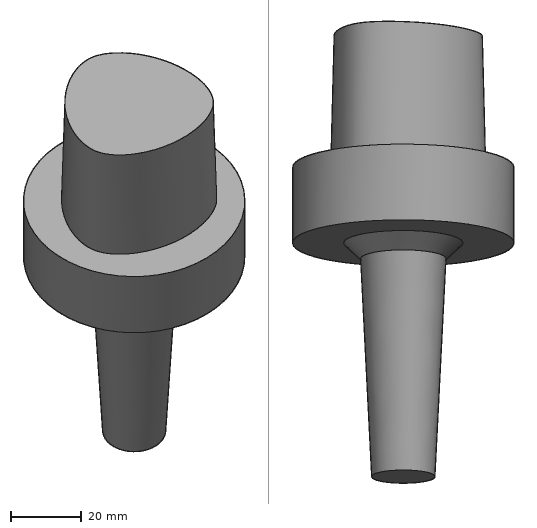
import cadquery as cq
import math

total_height = 128.0
flange_diameter = 63.0
flange_height = 22.0
shank_height = 38.0
collar_height = 4.6
collar_top_diameter = 33.9
stem_top_diameter = 24.3
stem_bottom_diameter = 18.0
shank_base_width = 44.2
shank_taper = 1 / 20
shank_eccentricity = 1.4
curve_points = 36

flange_top = total_height - shank_height
flange_bottom = flange_top - flange_height
stem_top = flange_bottom - collar_height
shank_top_width = shank_base_width - shank_height * shank_taper


def turned_body():
    """Tapered stem, conical collar and flange, revolved about Z."""
    profile = (
        cq.Workplane("XZ")
        .moveTo(0, 0)
        .lineTo(stem_bottom_diameter / 2, 0)
        .lineTo(stem_top_diameter / 2, stem_top)
        .lineTo(collar_top_diameter / 2, flange_bottom)
        .lineTo(flange_diameter / 2, flange_bottom)
        .lineTo(flange_diameter / 2, flange_top)
        .lineTo(0, flange_top)
        .close()
    )
    return profile.revolve(360, (0, 0, 0), (0, 1, 0))


def lobe_point(width, turn):
    """Point of a three-lobed curve of constant width, one lobe facing -Y."""
    angle = 2 * math.pi * turn
    toward_lobe = (
        width / 2 * math.cos(angle)
        + 2 * shank_eccentricity * math.cos(2 * angle)
        - shank_eccentricity * math.cos(4 * angle)
    )
    sideways = (
        width / 2 * math.sin(angle)
        - 2 * shank_eccentricity * math.sin(2 * angle)
        - shank_eccentricity * math.sin(4 * angle)
    )
    return sideways, -toward_lobe


def lobed_outline(width):
    """Points around the three-lobed curve, starting at the -Y lobe."""
    return [lobe_point(width, step / curve_points) for step in range(curve_points)]


def polygon_shank():
    """Tapered three-lobed shank standing on the flange."""
    return (
        cq.Workplane("XY")
        .workplane(offset=flange_top)
        .spline(lobed_outline(shank_base_width), periodic=True)
        .wire()
        .workplane(offset=shank_height)
        .spline(lobed_outline(shank_top_width), periodic=True)
        .wire()
        .loft(ruled=True)
    )


result = turned_body().union(polygon_shank())